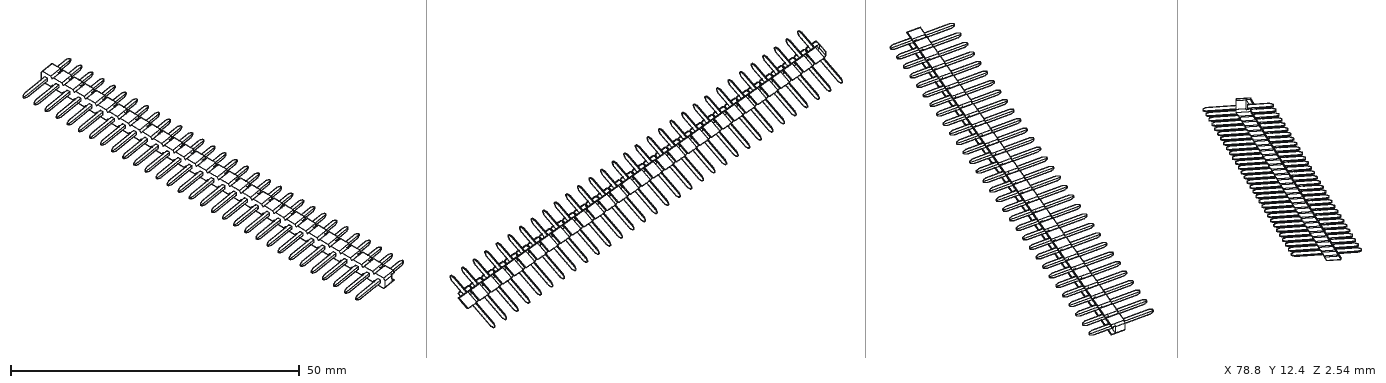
import cadquery as cq

strip_length = 78.75
pin_count = 31
pitch = strip_length / pin_count

body_width = pitch
body_height = pitch
bevel_run = 0.3
bevel_drop = 0.5
channel_depth = 0.7
channel_height = 1.8

pin_side = 0.6
tip_side = 0.3
taper_length = 0.6
pin_offset = -0.1
total_depth = 12.4
rear_pin_length = 3.8
front_pin_length = total_depth - body_width - rear_pin_length

segment_centres = [(i - (pin_count - 1) / 2) * pitch for i in range(pin_count)]


def make_body():
    """Strip with V notches between segments and a channel along its +Y face."""
    half_pitch = pitch / 2
    half_top = half_pitch - bevel_run
    top = body_height / 2
    shoulder = top - bevel_drop

    upper_edge = [(-strip_length / 2, shoulder)]
    for x in segment_centres:
        upper_edge += [(x - half_top, top), (x + half_top, top), (x + half_pitch, shoulder)]
    lower_edge = [(x, -z) for x, z in reversed(upper_edge)]

    strip = (
        cq.Workplane("XZ")
        .polyline(upper_edge + lower_edge)
        .close()
        .extrude(body_width / 2, both=True)
    )
    channel = cq.Workplane("XY").box(strip_length, channel_depth, channel_height)
    channel_y = (body_width - channel_depth) / 2
    return strip.cut(channel.translate((0, channel_y, 0)))


def make_pin():
    """Square pin along Y, tapered at both ends."""
    rear_end = body_width / 2 + rear_pin_length
    front_end = -body_width / 2 - front_pin_length
    shank_length = total_depth - 2 * taper_length
    shank_y = (rear_end + front_end) / 2
    pin = cq.Workplane("XY").box(pin_side, shank_length, pin_side).translate((0, shank_y, 0))

    for face in (">Y", "<Y"):
        pin = (
            pin.faces(face)
            .workplane(centerOption="CenterOfMass")
            .rect(pin_side, pin_side)
            .workplane(offset=taper_length)
            .rect(tip_side, tip_side)
            .loft(combine=True)
        )
    return pin.val()


pins = [make_pin().translate(cq.Vector(x + pin_offset, 0, 0)) for x in segment_centres]
result = cq.Workplane(obj=make_body().val().fuse(*pins))